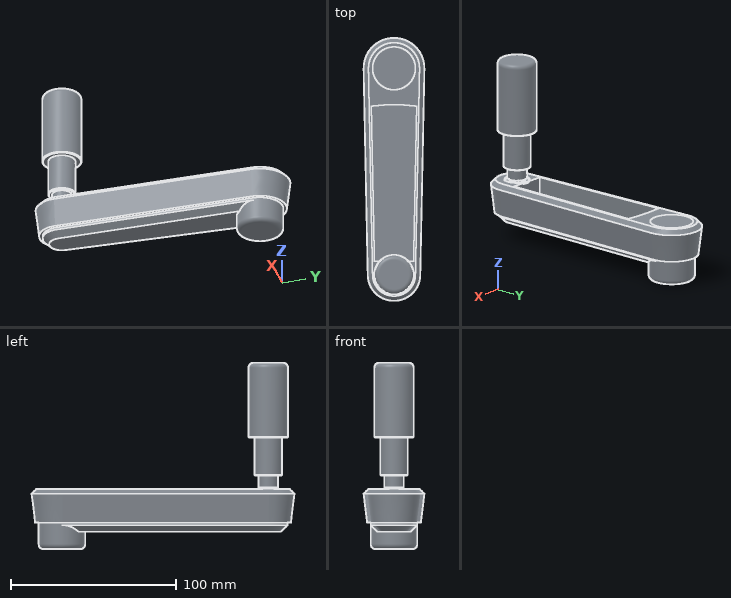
import cadquery as cq
import math


axis_distance = 125.0
hub_end_radius = 18.5
handle_end_radius = 16.0
arm_top = 36.5
edge_chamfer = 3.0
bevel_angle = 45.0
arm_underside = 16.0
side_draft = 7.0
widest_level = arm_top - edge_chamfer

hub_radius = 14.2
hub_foot_fillet = 3.0

keel_inset = hub_end_radius - hub_radius
keel_edge = 14.5
keel_bottom = 10.5

pocket_inset = keel_inset
pocket_depth = 18.5
pocket_hub_end = -22.0
pocket_handle_end = -117.0

cap_diameter = 26.0
cap_thickness = 3.0

recess_diameter = 15.3
recess_depth = 1.0
neck_width = 6.2
neck_length = 7.3
collar_diameter = 12.0
collar_gap = 1.0
sleeve_diameter = 16.7
grip_diameter = 24.0
grip_top = 113.0
collar_bottom = arm_top + collar_gap
sleeve_bottom = 44.5
grip_bottom = 67.5
grip_top_fillet = 3.0
lower_edge_chamfer = 0.5


def arm_outline(level, inset):
    """Two round ends joined by tangent sides, moved inward by inset."""
    tilt = math.asin((hub_end_radius - handle_end_radius) / axis_distance)
    side_x = math.cos(tilt)
    side_y = -math.sin(tilt)
    big = hub_end_radius - inset
    small = handle_end_radius - inset
    return (
        cq.Workplane("XY", origin=(0, 0, level))
        .moveTo(big * side_x, big * side_y)
        .threePointArc((0, big), (-big * side_x, big * side_y))
        .lineTo(-small * side_x, small * side_y - axis_distance)
        .threePointArc((0, -axis_distance - small), (small * side_x, small * side_y - axis_distance))
        .close()
    )


def disc(diameter, bottom, top, y=0.0):
    return cq.Workplane("XY", origin=(0, y, bottom)).circle(diameter / 2).extrude(top - bottom)


def make_beam():
    drafted_sides = arm_outline(widest_level, 0).extrude(arm_underside - widest_level, taper=side_draft)
    chamfered_rim = arm_outline(widest_level, 0).extrude(edge_chamfer, taper=bevel_angle)
    return drafted_sides.union(chamfered_rim)


def make_keel():
    upright = arm_outline(keel_edge, keel_inset).extrude(arm_underside - keel_edge)
    beveled = arm_outline(keel_edge, keel_inset).extrude(keel_bottom - keel_edge, taper=bevel_angle)
    return upright.union(beveled)


def make_hub():
    return disc(2 * hub_radius, 0, arm_underside).faces("<Z").edges().fillet(hub_foot_fillet)


def make_pocket():
    """Follows the arm sides, with a flat end at the handle and an end curved about the handle axis."""
    floor = arm_top - pocket_depth
    sides = arm_outline(floor, pocket_inset).extrude(pocket_depth)
    curved_end = disc(2 * (axis_distance + pocket_hub_end), floor, arm_top, -axis_distance)
    flat_end = (
        cq.Workplane("XY", origin=(0, pocket_handle_end, floor))
        .rect(2 * hub_end_radius, axis_distance, centered=(True, False))
        .extrude(pocket_depth)
    )
    return sides.intersect(curved_end).intersect(flat_end)


def make_arm():
    cap_seat = disc(cap_diameter, arm_top - cap_thickness, arm_top)
    handle_recess = disc(recess_diameter, arm_top - recess_depth, arm_top, -axis_distance)
    solid = make_beam().union(make_keel()).union(make_hub())
    return solid.cut(make_pocket()).cut(cap_seat).cut(handle_recess)


def make_cap():
    return disc(cap_diameter, arm_top - cap_thickness, arm_top)


def make_handle():
    recess_floor = arm_top - recess_depth
    neck = (
        cq.Workplane("XY", origin=(0, -axis_distance, recess_floor))
        .rect(neck_width, neck_length)
        .extrude(collar_bottom - recess_floor)
    )
    collar = disc(collar_diameter, collar_bottom, sleeve_bottom, -axis_distance)
    sleeve = disc(sleeve_diameter, sleeve_bottom, grip_bottom, -axis_distance)
    sleeve = sleeve.faces("<Z").edges().chamfer(lower_edge_chamfer)
    grip = disc(grip_diameter, grip_bottom, grip_top, -axis_distance)
    grip = grip.faces("<Z").edges().chamfer(lower_edge_chamfer)
    grip = grip.faces(">Z").edges().fillet(grip_top_fillet)
    return neck.union(collar).union(sleeve).union(grip)


arm = make_arm()
cap = make_cap()
handle = make_handle()

result = cq.Compound.makeCompound([arm.solids().val(), cap.solids().val(), handle.solids().val()])